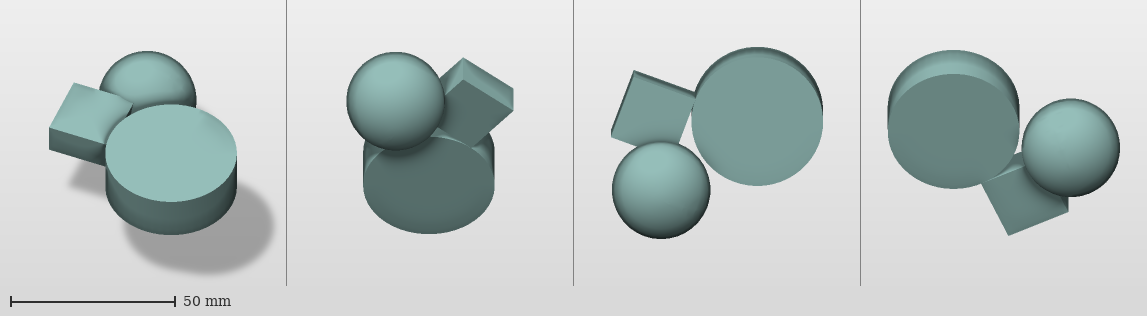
import cadquery as cq

block_side = 20.0
block_height = 10.0
disc_diameter = 40.0
disc_height = 15.0
ball_diameter = 30.0

disc_radius = disc_diameter / 2
ball_radius = ball_diameter / 2
disc_x = block_side + disc_radius
ball_x = block_side
ball_y = block_side + block_height


def make_disc():
    """Plain upright cylinder, centred level with the block's front face."""
    return cq.Workplane("XY").center(disc_x, 0).circle(disc_radius).extrude(disc_height)


def make_ball():
    """Whole sphere centred at the height of the block's base."""
    return cq.Workplane("XY").sphere(ball_radius).translate((ball_x, ball_y, 0))


def make_block(ball):
    """Square block with a spherical recess at its back right corner for the ball."""
    block = cq.Workplane("XY").box(block_side, block_side, block_height, centered=False)
    return block.cut(ball)


disc = make_disc()
ball = make_ball()
block = make_block(ball)

result = cq.Compound.makeCompound([disc.val(), ball.val(), *block.solids().vals()])